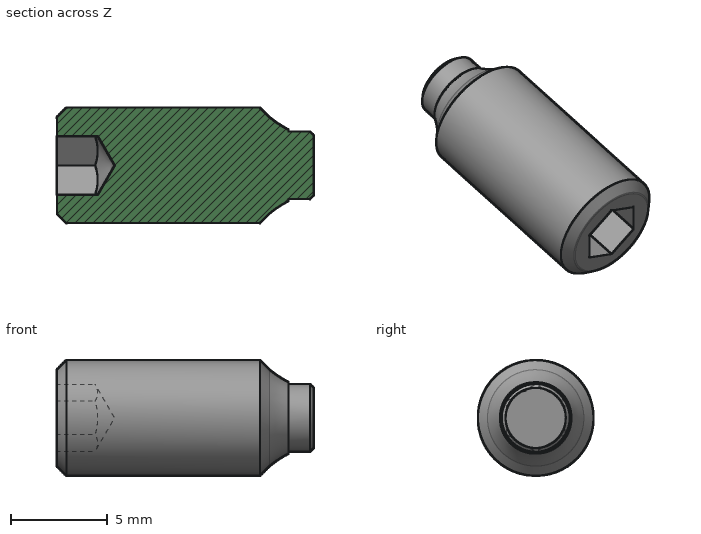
import cadquery as cq
import math

length = 13.3
body_radius = 2.999
end_chamfer = 0.5
rim_round = 0.1

body_end = 10.51
neck_start = 12.0
neck_radius = 1.85
neck_sagitta = 0.033
pilot_radius = 1.75
pilot_chamfer = 0.2

hex_across_flats = 3.0
hex_depth = 2.0
cone_bottom_angle = 120.0


def make_body():
    """Revolve the screw's half profile, with a concave neck, about the X axis."""
    shoulder_x = body_end + end_chamfer
    shoulder_radius = body_radius - end_chamfer

    run = neck_start - shoulder_x
    drop = shoulder_radius - neck_radius
    chord = math.hypot(run, drop)
    neck_middle = (
        shoulder_x + run / 2 - neck_sagitta * drop / chord,
        neck_radius + drop / 2 - neck_sagitta * run / chord,
    )

    body = (
        cq.Workplane("XY")
        .moveTo(0, 0)
        .lineTo(0, body_radius - end_chamfer)
        .lineTo(end_chamfer, body_radius)
        .lineTo(body_end, body_radius)
        .lineTo(shoulder_x, shoulder_radius)
        .threePointArc(neck_middle, (neck_start, neck_radius))
        .lineTo(neck_start, pilot_radius)
        .lineTo(length - pilot_chamfer, pilot_radius)
        .lineTo(length, pilot_radius - pilot_chamfer)
        .lineTo(length, 0)
        .close()
        .revolve(360, (0, 0, 0), (1, 0, 0))
    )
    return body.faces("<X").edges().fillet(rim_round)


def make_socket():
    """Hexagon with corners up and down, ending in a cone through its corners."""
    corner_radius = hex_across_flats / math.sqrt(3)
    cone_depth = corner_radius / math.tan(math.radians(cone_bottom_angle / 2))
    socket_depth = hex_depth + cone_depth

    hexagon = (
        cq.Workplane("YZ")
        .polygon(6, 2 * corner_radius)
        .extrude(socket_depth)
        .rotate((0, 0, 0), (1, 0, 0), 90)
    )
    drilled_hole = (
        cq.Workplane("XY")
        .moveTo(0, 0)
        .lineTo(0, corner_radius)
        .lineTo(hex_depth, corner_radius)
        .lineTo(socket_depth, 0)
        .close()
        .revolve(360, (0, 0, 0), (1, 0, 0))
    )
    return hexagon.intersect(drilled_hole)


result = make_body().cut(make_socket())